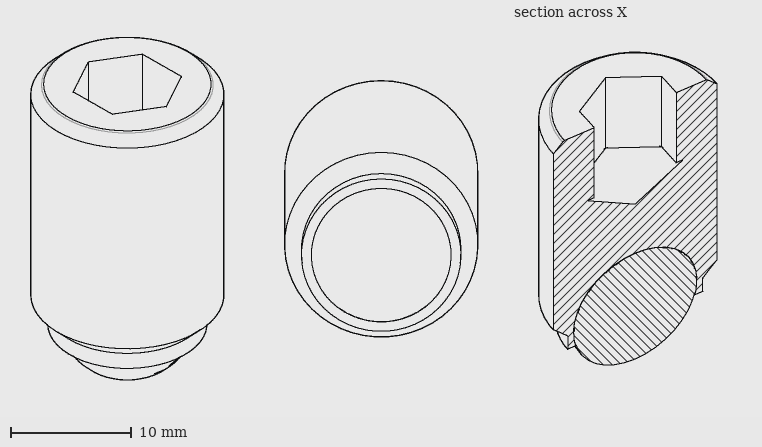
import cadquery as cq
import math

overall_length = 28.3
ball_diameter = 12.0
ball_protrusion = 4.4

screw_diameter = 16.0
top_chamfer = 1.0
rim_height = 0.1
rim_slope = 30.0

neck_diameter = 13.2
neck_length = 1.5

hex_sides = 6
hex_across_flats = 8.0
socket_depth = 8.0
drill_point_angle = 120.0

ball_radius = ball_diameter / 2
screw_radius = screw_diameter / 2
neck_radius = neck_diameter / 2
screw_bottom = ball_protrusion
screw_top = overall_length
hex_across_corners = hex_across_flats / math.cos(math.pi / hex_sides)


def make_ball():
    return cq.Workplane("XY").sphere(ball_radius).translate((0, 0, ball_radius))


def make_screw_blank():
    """Turned outline: neck, 45 degree run-in, cylinder, top chamfer and bevelled rim."""
    neck_top = screw_bottom + neck_length
    run_in_top = neck_top + (screw_radius - neck_radius)
    rim_outer_radius = screw_radius - (top_chamfer - rim_height)
    rim_inner_radius = rim_outer_radius - rim_height / math.tan(math.radians(rim_slope))
    return (
        cq.Workplane("XZ")
        .moveTo(0, screw_bottom)
        .lineTo(neck_radius, screw_bottom)
        .lineTo(neck_radius, neck_top)
        .lineTo(screw_radius, run_in_top)
        .lineTo(screw_radius, screw_top - top_chamfer)
        .lineTo(rim_outer_radius, screw_top - rim_height)
        .lineTo(rim_inner_radius, screw_top)
        .lineTo(0, screw_top)
        .close()
        .revolve(360, (0, 0, 0), (0, 1, 0))
    )


def make_socket():
    """Hexagonal prism with a drill-point cone below it."""
    floor = screw_top - socket_depth
    prism = (
        cq.Workplane("XY", origin=(0, 0, floor))
        .polygon(hex_sides, hex_across_corners)
        .extrude(socket_depth)
    )
    cone_radius = hex_across_corners / 2
    cone_depth = cone_radius / math.tan(math.radians(drill_point_angle / 2))
    cone = cq.Workplane(
        cq.Solid.makeCone(0, cone_radius, cone_depth, pnt=cq.Vector(0, 0, floor - cone_depth))
    )
    return prism.union(cone)


ball = make_ball()
screw = make_screw_blank().cut(make_socket()).cut(ball)

result = cq.Compound.makeCompound([screw.val(), ball.val()])